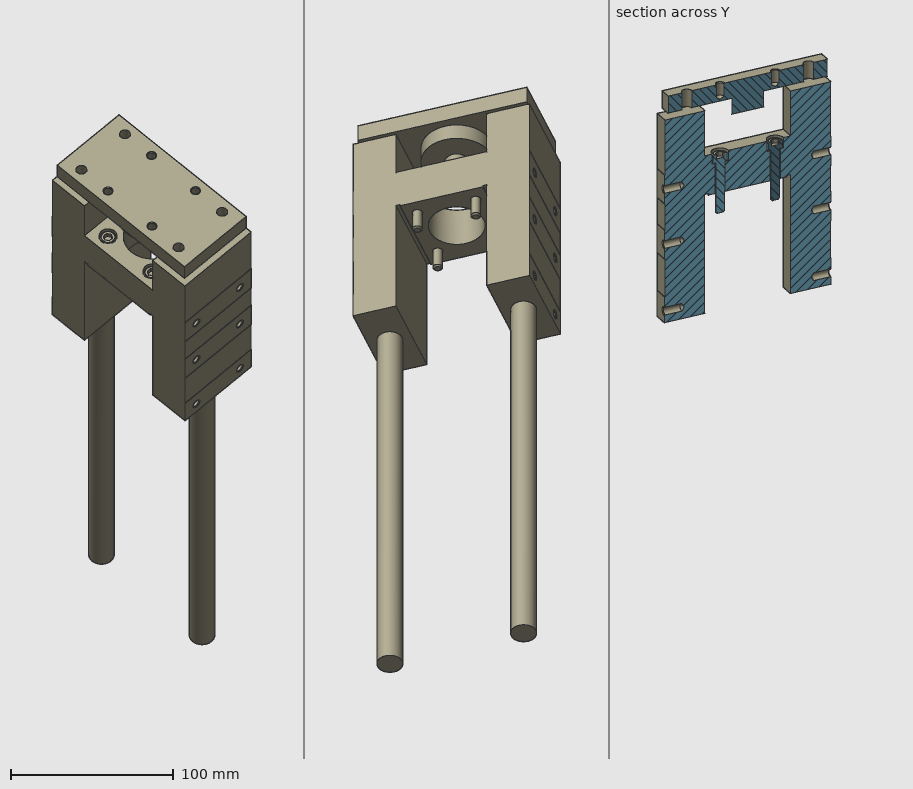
import cadquery as cq
import math

total_height = 420.0

plate_length = 110.0
plate_width = 54.0
plate_thickness = 12.0
plate_gap = 4.0
plate_tapped_depth = 9.0
outer_hole_diameter = 6.6
outer_hole_spacing = 84.0

rod_diameter = 16.0
rod_spacing = 87.0
flange_diameter = 44.0
flange_height = 11.0
stub_diameter = 15.0
stub_height = 10.0

housing_length = 115.0
housing_width = 58.0
housing_height = 140.0
post_length = 28.0
bridge_top_drop = 31.0
bridge_height = 28.0
bridge_bore_diameter = 35.0
relief_length = 2.5
relief_depth = 1.0

pad_height = 20.0
pad_drops = (48.0, 86.0, 132.0)
pad_recess = 0.2

screw_pitch = 38.0

tapped_diameter = 4.92
tapped_entry_diameter = 6.0
side_tapped_depth = 12.0
drill_point_angle = 118.0

screw_diameter = 6.0
screw_length = 35.0
screw_tip_chamfer = 1.0
head_diameter = 10.0
head_height = 6.0
head_chamfer = 0.8
socket_width = 5.0
socket_depth = 3.0
clearance_diameter = 6.6
counterbore_diameter = 11.0
counterbore_depth = 7.0

plate_bottom = -plate_thickness
housing_top = plate_bottom - plate_gap
housing_bottom = housing_top - housing_height
bridge_top = housing_top - bridge_top_drop
bridge_bottom = bridge_top - bridge_height
bridge_length = housing_length - 2 * post_length
head_seat = bridge_top - counterbore_depth
head_top = head_seat + head_height
SIDES = (-1, 1)
screw_points = [(x * screw_pitch / 2, y * screw_pitch / 2) for x in SIDES for y in SIDES]
outer_hole_points = [(x * outer_hole_spacing / 2, y * screw_pitch / 2) for x in SIDES for y in SIDES]
rod_points = [(x * rod_spacing / 2, 0) for x in SIDES]
centre = [(0, 0)]


def cylinders(points, diameter, top, height):
    """Vertical cylinders hanging down from the level `top`."""
    return cq.Workplane("XY", origin=(0, 0, top)).pushPoints(points).circle(diameter / 2).extrude(-height)


def block(length, width, top, bottom, x=0):
    """Rectangular block between two levels, centred on Y."""
    return cq.Workplane("XY", origin=(x, 0, top)).rect(length, width).extrude(bottom - top)


def tapped_hole(point, direction, depth):
    """Blind hole cutter with a chamfered entry and a drill point, running along `direction`."""
    radius = tapped_diameter / 2
    entry_radius = tapped_entry_diameter / 2
    entry_depth = entry_radius - radius
    tip = depth + radius / math.tan(math.radians(drill_point_angle / 2))
    profile = [(0, 0), (entry_radius, 0), (radius, entry_depth), (radius, depth), (0, tip)]
    hole_plane = cq.Plane(origin=point, xDir=(0, 1, 0), normal=direction)
    cutter = cq.Workplane("XZ").polyline(profile).close().revolve(360, (0, 0, 0), (0, 1, 0))
    return cutter.val().moved(hole_plane.location)


def cut_pad_recesses(body, side):
    """Set back the side face above each pad, leaving the pads proud."""
    recess_top = housing_top
    for drop in pad_drops:
        pad_top = housing_top - drop + pad_height / 2
        recess = block(2 * pad_recess, housing_width, recess_top, pad_top, side * housing_length / 2)
        body = body.cut(recess)
        recess_top = pad_top - pad_height
    return body


def cut_pad_holes(body, side):
    for drop in pad_drops:
        for y in SIDES:
            point = (side * housing_length / 2, y * screw_pitch / 2, housing_top - drop)
            body = body.cut(tapped_hole(point, (-side, 0, 0), side_tapped_depth))
    return body


def make_housing():
    body = block(housing_length, housing_width, housing_top, housing_bottom)
    body = body.cut(block(bridge_length, housing_width, housing_top, bridge_top))
    body = body.cut(block(bridge_length, housing_width, bridge_bottom, housing_bottom))

    body = body.cut(cylinders(centre, bridge_bore_diameter, bridge_top, bridge_height))
    body = body.cut(cylinders(screw_points, clearance_diameter, bridge_top, bridge_height))
    body = body.cut(cylinders(screw_points, counterbore_diameter, bridge_top, counterbore_depth))
    body = body.cut(cylinders(rod_points, rod_diameter, housing_top, housing_height))

    for side in SIDES:
        relief_x = side * (bridge_length - relief_length) / 2
        relief_top = bridge_bottom + relief_depth
        body = body.cut(block(relief_length, housing_width, relief_top, bridge_bottom, relief_x))
        body = cut_pad_recesses(body, side)
        body = cut_pad_holes(body, side)
    return body


def make_slider():
    body = block(plate_length, plate_width, 0, plate_bottom)
    body = body.cut(cylinders(outer_hole_points, outer_hole_diameter, 0, plate_thickness))
    for x, y in screw_points:
        body = body.cut(tapped_hole((x, y, 0), (0, 0, -1), plate_tapped_depth))

    body = body.union(cylinders(rod_points, rod_diameter, plate_bottom, total_height - plate_thickness))
    body = body.union(cylinders(centre, flange_diameter, plate_bottom, flange_height))
    body = body.union(cylinders(centre, stub_diameter, plate_bottom - flange_height, stub_height))
    return body


def make_screw(point):
    shank = cylinders([point], screw_diameter, head_seat, screw_length)
    shank = shank.faces("<Z").chamfer(screw_tip_chamfer)
    head = cylinders([point], head_diameter, head_top, head_height)
    head = head.faces(">Z").chamfer(head_chamfer)
    socket = cq.Workplane("XY", origin=(*point, head_top))
    socket = socket.polygon(6, socket_width, circumscribed=True).extrude(-socket_depth)
    return shank.union(head).cut(socket)


housing = make_housing().solids()
slider = make_slider().solids()
screws = [make_screw(point).solids() for point in screw_points]

result = cq.Compound.makeCompound([housing.val(), slider.val(), *[screw.val() for screw in screws]])